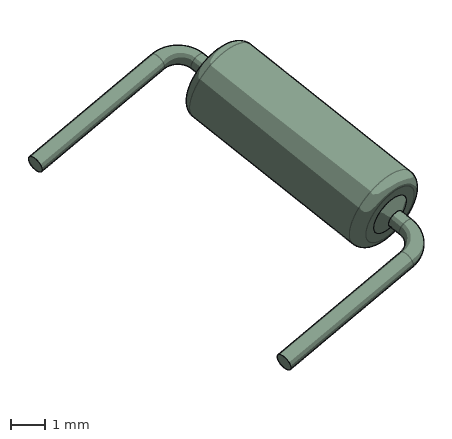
import cadquery as cq

span = 10.72
body_diameter = 2.71
depth = 7.31

body_length = 7.2
edge_radius = 0.34

collar_base_radius = 0.69
collar_length = 0.21

wire_diameter = 0.57
bend_radius = 0.83

body_radius = body_diameter / 2
wire_radius = wire_diameter / 2
body_end_x = body_length / 2
leg_x = span / 2 - wire_radius
tip_y = body_radius - depth


def make_body():
    """Round body along X with rounded rims, centred on the origin."""
    start_plane = cq.Workplane("YZ", origin=(-body_end_x, 0, 0))
    cylinder = start_plane.circle(body_radius).extrude(body_length)
    return cylinder.edges("%CIRCLE").fillet(edge_radius)


def make_collars():
    """Cones narrowing from each body end to the wire, as one revolved solid."""
    collar_tip_x = body_end_x + collar_length
    return (
        cq.Workplane("XY")
        .moveTo(-collar_tip_x, 0)
        .lineTo(-collar_tip_x, wire_radius)
        .lineTo(-body_end_x, collar_base_radius)
        .lineTo(body_end_x, collar_base_radius)
        .lineTo(collar_tip_x, wire_radius)
        .lineTo(collar_tip_x, 0)
        .close()
        .revolve(360, (0, 0, 0), (1, 0, 0))
    )


def make_leads():
    """One wire through the body axis, bent toward -Y at both ends."""
    bend_start_x = leg_x - bend_radius
    path = (
        cq.Workplane("XY")
        .moveTo(-leg_x, tip_y)
        .lineTo(-leg_x, -bend_radius)
        .tangentArcPoint((-bend_start_x, 0), relative=False)
        .lineTo(bend_start_x, 0)
        .tangentArcPoint((leg_x, -bend_radius), relative=False)
        .lineTo(leg_x, tip_y)
    )
    tip_plane = cq.Workplane("XZ", origin=(-leg_x, tip_y, 0))
    return tip_plane.circle(wire_radius).sweep(path)


result = make_body().union(make_collars()).union(make_leads())